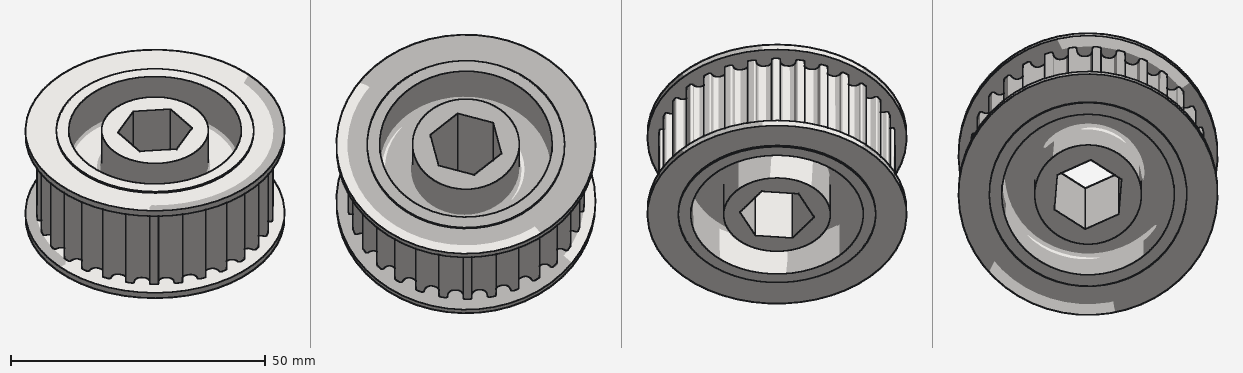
import cadquery as cq
import math

outer_diameter = 51.0
width = 22.0

tooth_count = 30
tooth_tip_radius = 23.3
groove_depth = 2.05
groove_width = 3.05
groove_corner_radius = 1.35
tooth_edge_radius = 0.4

flange_thickness = 1.4
flange_recess = 0.35
flange_seat_radius = 19.45

pocket_radius = 17.0
hub_radius = 10.5
pocket_depth = 9.25
pocket_fillet = 1.0

hex_across_flats = 12.7

outer_radius = outer_diameter / 2
half_width = width / 2
half_groove = groove_width / 2
half_groove_length = half_width - flange_recess - flange_thickness
tooth_pitch_angle = 360 / tooth_count


def make_blank():
    """Revolved body with both flanges, solid through the middle."""
    plate_z = half_width - flange_recess
    rim_z = half_width - flange_thickness
    upper_half = [
        (tooth_tip_radius, half_groove_length),
        (outer_radius, rim_z),
        (outer_radius, half_width),
        (tooth_tip_radius, plate_z),
        (flange_seat_radius, plate_z),
        (flange_seat_radius, half_width),
        (0, half_width),
    ]
    lower_half = [(r, -z) for r, z in reversed(upper_half)]
    profile = cq.Workplane("XZ").polyline(upper_half + lower_half).close()
    return profile.revolve(360, (0, 0, 0), (0, 1, 0))


def polar(radius, angle):
    """Point at a distance and angle from the origin."""
    return (radius * math.cos(angle), radius * math.sin(angle))


def make_groove():
    """Cutter for one groove centred on +X: flat floor, round corners, parallel walls, rounded mouth."""
    root_radius = tooth_tip_radius - groove_depth
    half_floor = half_groove - groove_corner_radius
    corner_x = root_radius + groove_corner_radius
    corner_middle_x, corner_middle_y = polar(groove_corner_radius, 3 * math.pi / 4)
    corner_middle = (corner_x + corner_middle_x, half_floor + corner_middle_y)

    mouth_y = half_groove + tooth_edge_radius
    mouth_x = math.sqrt((tooth_tip_radius - tooth_edge_radius) ** 2 - mouth_y**2)
    tip_angle = math.atan2(mouth_y, mouth_x)
    tip = polar(tooth_tip_radius, tip_angle)
    mouth_middle_x, mouth_middle_y = polar(tooth_edge_radius, (tip_angle - math.pi / 2) / 2)
    mouth_middle = (mouth_x + mouth_middle_x, mouth_y + mouth_middle_y)

    def mirrored(point):
        return (point[0], -point[1])

    return (
        cq.Workplane("XY")
        .workplane(offset=-half_groove_length)
        .moveTo(*tip)
        .threePointArc(mouth_middle, (mouth_x, half_groove))
        .lineTo(corner_x, half_groove)
        .threePointArc(corner_middle, (root_radius, half_floor))
        .lineTo(root_radius, -half_floor)
        .threePointArc(mirrored(corner_middle), (corner_x, -half_groove))
        .lineTo(mouth_x, -half_groove)
        .threePointArc(mirrored(mouth_middle), mirrored(tip))
        .threePointArc((tooth_tip_radius, 0), tip)
        .close()
        .extrude(2 * half_groove_length)
    )


def make_pocket():
    """Cutter for the ring-shaped pocket on the +Z side, with filleted floor edges."""
    return (
        cq.Workplane("XY")
        .workplane(offset=half_width - pocket_depth)
        .circle(pocket_radius)
        .circle(hub_radius)
        .extrude(pocket_depth)
        .faces("<Z")
        .edges()
        .fillet(pocket_fillet)
    )


def make_bore():
    """Hexagonal through-bore cutter with two corners on the X axis."""
    across_corners = hex_across_flats / math.cos(math.pi / 6)
    return (
        cq.Workplane("XY")
        .workplane(offset=-half_width)
        .polygon(6, across_corners)
        .extrude(width)
    )


groove = make_groove()
grooves = cq.Workplane("XY")
for index in range(tooth_count):
    groove_angle = (index + 0.5) * tooth_pitch_angle
    grooves = grooves.add(groove.rotate((0, 0, 0), (0, 0, 1), groove_angle))

pocket = make_pocket()
result = make_blank()
result = result.cut(cq.Workplane(cq.Compound.makeCompound(grooves.vals())))
result = result.cut(pocket).cut(pocket.mirror("XY"))
result = result.cut(make_bore())